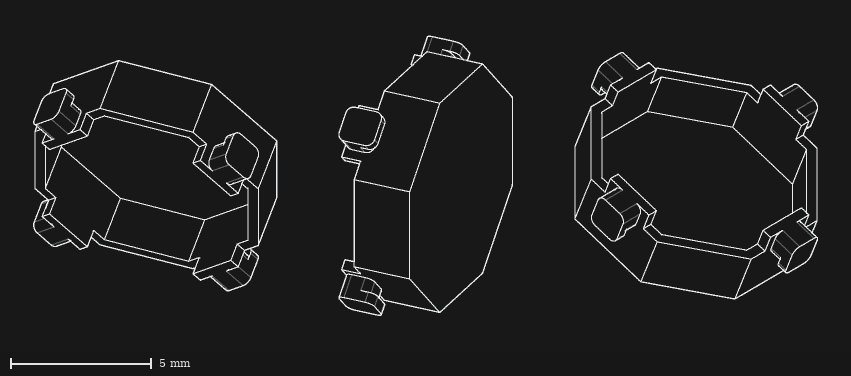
import cadquery as cq
import math

width = 8.33
corner_cut = 2.43
wall = 0.39
floor = 0.3
body_depth = 2.2
total_depth = 2.95
foot_depth = total_depth - body_depth

foot_width = 2.0
arm_width = 1.31
arm_depth = 1.1
lip_depth = 1.4
reach = 0.89
corner_radius = 0.28

diagonal_face = (width - corner_cut) / math.sqrt(2)
foot_tip = diagonal_face + reach
lip_start = foot_tip - wall


def octagon(inset):
    """Octagon outline on the back face, every side moved inward by inset."""
    half = width / 2 - inset
    short = diagonal_face * math.sqrt(2) - half - inset * math.sqrt(2)
    points = [
        (half, short), (short, half), (-short, half), (-half, short),
        (-half, -short), (-short, -half), (short, -half), (half, -short),
    ]
    return cq.Workplane("XZ", origin=(0, total_depth, 0)).polyline(points).close()


def block(start, end, depth, across):
    """Block from X = start to end, centred in Z, reaching back from Y = 0."""
    return cq.Workplane("XY").box(
        end - start, depth, across, centered=(False, False, True)
    ).translate((start, 0, 0))


def rounded_block(start, end, depth, across):
    """Block whose four edges along X are rounded."""
    return block(start, end, depth, across).edges("|X").fillet(corner_radius)


def make_foot():
    """Foot pointing along +X: wall tab, outward arm and deeper end lip."""
    tab = block(diagonal_face - wall, diagonal_face, foot_depth, foot_width)
    arm = rounded_block(diagonal_face, foot_tip, arm_depth, arm_width)
    lip = rounded_block(lip_start, foot_tip, lip_depth, arm_width)
    return tab.union(arm).union(lip)


def make_cup():
    outside = octagon(0).extrude(body_depth)
    cavity = octagon(wall).extrude(body_depth).translate((0, -floor, 0))
    return outside.cut(cavity)


result = make_cup()
foot = make_foot()
for angle in (45, 135, 225, 315):
    result = result.union(foot.rotate((0, 0, 0), (0, 1, 0), angle))